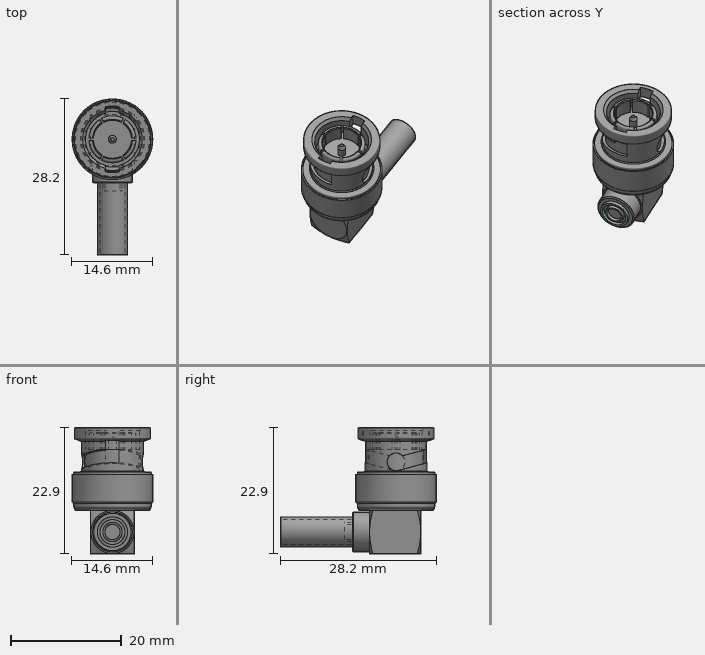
import cadquery as cq
import math

total_height = 22.85
total_length = 28.2

block_width = 7.95
block_height = 7.9
block_back_y = 4.48
block_front_y = -4.82
block_cone_radius = 3.9
block_cone_angle = 20.0
flange_radius = 3.6
flange_front_y = -7.92
flange_chamfer = 0.23
tube_radius = 2.74
tube_bore_radius = 2.25
spigot_radius = 1.75
spigot_hole_radius = 1.38
spigot_rounding = 0.17
spigot_length = 1.4

collar_radius = 7.3
collar_bottom_z = 9.45
collar_top_z = 14.38
rim_radius = 7.02
rim_bottom_z = 9.15
rim_top_z = 14.83
rim_fillet = 0.17
base_radius = 6.7
base_bevel_radius = 6.97
base_bevel_z = 8.35
base_taper_z = 8.63
neck_radius = 5.65
neck_flare = 0.2
head_radius = 6.9
head_bottom_z = 20.87
head_cone_z = 20.35
head_fillet = 0.2

core_radius = 5.05
core_top_z = 18.95
bore_radius = 4.88
bore_mouth_radius = 5.4
bore_chamfer_depth = bore_mouth_radius - bore_radius

track_width = 2.45
track_entry_radius = 6.03
ramp_angle = 15.0
detent_radius = 1.6
detent_z = 16.67

finger_outer_radius = 4.25
finger_inner_radius = 3.45
finger_top_z = 22.0
finger_slot_count = 6
finger_slot_width = 0.4
finger_outer_rounding = 0.45
finger_inner_chamfer = 0.17
pin_radius = 0.7
pin_tip_radius = 0.3
pin_shoulder_z = 20.6
pin_tip_z = 21.2

outlet_z = block_width / 2
tube_end_y = collar_radius - total_length
tolerance = 0.003


def cylinder(radius, bottom_z, top_z):
    """Cylinder about the Z axis between two heights."""
    return cq.Workplane("XY").workplane(offset=bottom_z).circle(radius).extrude(top_z - bottom_z)


def revolve_about_z(points):
    """Revolve a closed (radius, z) outline about the Z axis."""
    return cq.Workplane("XZ").polyline(points).close().revolve(360, (0, 0, 0), (0, 1, 0))


def revolve_about_outlet(points):
    """Revolve a closed (radius, y) outline about the outlet axis."""
    profile = cq.Workplane("XY").workplane(offset=outlet_z).polyline(points).close()
    return profile.revolve(360, (0, 0, 0), (0, 1, 0))


def is_circle(edge, radius, height=None):
    """True for a circular edge of the given radius, optionally at the given height."""
    same_radius = math.isclose(edge.radius(), radius, abs_tol=tolerance)
    return same_radius and (height is None or math.isclose(edge.Center().z, height, abs_tol=tolerance))


def elbow_block():
    """Square block whose two ends are bevelled by shallow cones."""
    length = block_back_y - block_front_y
    block = cq.Workplane("XY").box(block_width, length, block_height, centered=(True, False, False))
    block = block.translate((0, block_front_y, 0))
    envelope_radius = block_width
    cone_depth = (envelope_radius - block_cone_radius) * math.tan(math.radians(block_cone_angle))
    envelope = revolve_about_outlet([
        (0, block_front_y),
        (block_cone_radius, block_front_y),
        (envelope_radius, block_front_y + cone_depth),
        (envelope_radius, block_back_y - cone_depth),
        (block_cone_radius, block_back_y),
        (0, block_back_y),
    ])
    return block.intersect(envelope)


def cable_outlet():
    """Flange and hollow tube, with a short spigot on the floor of the bore."""
    outlet = revolve_about_outlet([
        (0, block_front_y),
        (flange_radius, block_front_y),
        (flange_radius, flange_front_y + flange_chamfer),
        (flange_radius - flange_chamfer, flange_front_y),
        (tube_radius, flange_front_y),
        (tube_radius, tube_end_y),
        (tube_bore_radius, tube_end_y),
        (tube_bore_radius, flange_front_y),
        (0, flange_front_y),
    ])
    spigot = (
        cq.Workplane("XZ", origin=(0, flange_front_y, outlet_z))
        .circle(spigot_radius)
        .circle(spigot_hole_radius)
        .extrude(spigot_length)
        .faces("<Y").edges().fillet(spigot_rounding)
    )
    return outlet.union(spigot)


def coupling_nut():
    """Turned outer body of the nut, before the socket and tracks are cut."""
    nut = revolve_about_z([
        (0, block_height),
        (base_radius, block_height),
        (base_bevel_radius, base_bevel_z),
        (rim_radius, base_taper_z),
        (rim_radius, rim_bottom_z),
        (collar_radius, collar_bottom_z),
        (collar_radius, collar_top_z),
        (rim_radius, collar_top_z),
        (rim_radius, rim_top_z),
        (neck_radius + neck_flare, rim_top_z),
        (neck_radius, rim_top_z + neck_flare),
        (neck_radius, head_cone_z),
        (head_radius, head_bottom_z),
        (head_radius, total_height),
        (0, total_height),
    ])
    nut = nut.edges("%CIRCLE").filter(lambda edge: is_circle(edge, head_radius)).fillet(head_fillet)
    nut = nut.edges("%CIRCLE").filter(lambda edge: is_circle(edge, rim_radius, rim_top_z)).fillet(rim_fillet)
    return nut


def socket():
    """Bore of the head with its chamfered mouth."""
    return revolve_about_z([
        (0, core_top_z),
        (bore_radius, core_top_z),
        (bore_radius, total_height - bore_chamfer_depth),
        (bore_mouth_radius, total_height),
        (0, total_height),
    ])


def bayonet_track():
    """Entry slot on -Y, ramp down to a round detent on -X; the core stays as its floor."""
    angle = math.radians(ramp_angle)
    touch_y = -detent_radius * math.sin(angle)
    touch_z = detent_z - detent_radius * math.cos(angle)
    high_z = touch_z + math.tan(angle) * (touch_y + neck_radius)
    ramp = (
        cq.Workplane("YZ", origin=(track_width / 2, 0, 0))
        .polyline([
            (touch_y, touch_z),
            (-neck_radius, high_z),
            (-neck_radius, high_z + track_width),
            (touch_y, touch_z + track_width),
        ])
        .close()
        .extrude(-collar_radius)
    )

    entry = cq.Workplane("XY").box(
        track_width, collar_radius, total_height - high_z, centered=(True, False, False)
    ).translate((0, -collar_radius, high_z))

    detent = cq.Workplane("YZ").center(0, detent_z).circle(detent_radius).extrude(-collar_radius)

    core = cylinder(core_radius, 0, core_top_z)
    reach = cylinder(track_entry_radius, 0, total_height)
    return entry.union(ramp).union(detent).intersect(reach).cut(core)


def contact_fingers():
    """Ring of spring fingers separated by radial slots."""
    ring = cq.Workplane("XY").workplane(offset=core_top_z)
    ring = ring.circle(finger_outer_radius).circle(finger_inner_radius).extrude(finger_top_z - core_top_z)
    ring = ring.faces(">Z").edges(cq.selectors.RadiusNthSelector(1)).fillet(finger_outer_rounding)
    ring = ring.faces(">Z").edges(cq.selectors.RadiusNthSelector(0)).chamfer(finger_inner_chamfer)
    slot = cq.Workplane("XY").box(
        2 * finger_outer_radius, finger_slot_width, total_height, centered=(True, True, False)
    )
    for index in range(finger_slot_count // 2):
        ring = ring.cut(slot.rotate((0, 0, 0), (0, 0, 1), index * 360 / finger_slot_count))
    return ring


def centre_pin():
    """Pin with a conical tip."""
    return revolve_about_z([
        (0, core_top_z),
        (pin_radius, core_top_z),
        (pin_radius, pin_shoulder_z),
        (pin_tip_radius, pin_tip_z),
        (0, pin_tip_z),
    ])


nut = coupling_nut().cut(socket())
for turn in (0, 180):
    nut = nut.cut(bayonet_track().rotate((0, 0, 0), (0, 0, 1), turn))

result = nut.union(elbow_block()).union(cable_outlet())
for feature in (contact_fingers(), centre_pin()):
    result = result.union(feature)